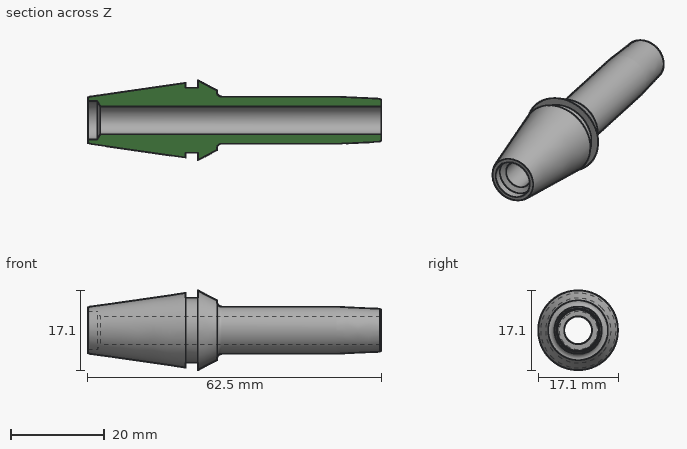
import cadquery as cq
import math

length = 62.5
nose_chamfer = 0.45
tail_chamfer = 0.4
nose_end = 20.8
collar_start = 23.45
collar_end = 27.5
neck_fillet = 1.0
tail_start = 52.95

nose_tip_radius = 5.05
nose_base_radius = 8.0
groove_radius = 6.95
collar_radius = 17.05 / 2
collar_end_radius = 6.4
shaft_radius = 5.05
tail_radius = 4.6
nose_face_radius = 4.9
tail_face_radius = 4.4

bore_radius = 2.95
counterbore_radius = 4.05
counterbore_depth = 1.95
drill_half_angle = 59.0
drill_tip_depth = (counterbore_radius - bore_radius) / math.tan(math.radians(drill_half_angle))


def revolve_about_x(profile):
    """Revolve a closed (x, radius) profile a full turn about the X axis."""
    return profile.close().revolve(360, (0, 0, 0), (1, 0, 0))


arc_offset = neck_fillet * (1 - math.sqrt(0.5))
body = revolve_about_x(
    cq.Workplane("XY")
    .lineTo(0, nose_face_radius)
    .lineTo(nose_chamfer, nose_tip_radius)
    .lineTo(nose_end, nose_base_radius)
    .lineTo(nose_end, groove_radius)
    .lineTo(collar_start, groove_radius)
    .lineTo(collar_start, collar_radius)
    .lineTo(collar_end, collar_end_radius)
    .lineTo(collar_end, shaft_radius + neck_fillet)
    .threePointArc(
        (collar_end + arc_offset, shaft_radius + arc_offset),
        (collar_end + neck_fillet, shaft_radius),
    )
    .lineTo(tail_start, shaft_radius)
    .lineTo(length - tail_chamfer, tail_radius)
    .lineTo(length, tail_face_radius)
    .lineTo(length, 0)
)

hole = revolve_about_x(
    cq.Workplane("XY")
    .lineTo(0, counterbore_radius)
    .lineTo(counterbore_depth, counterbore_radius)
    .lineTo(counterbore_depth + drill_tip_depth, bore_radius)
    .lineTo(length, bore_radius)
    .lineTo(length, 0)
)

result = body.cut(hole)